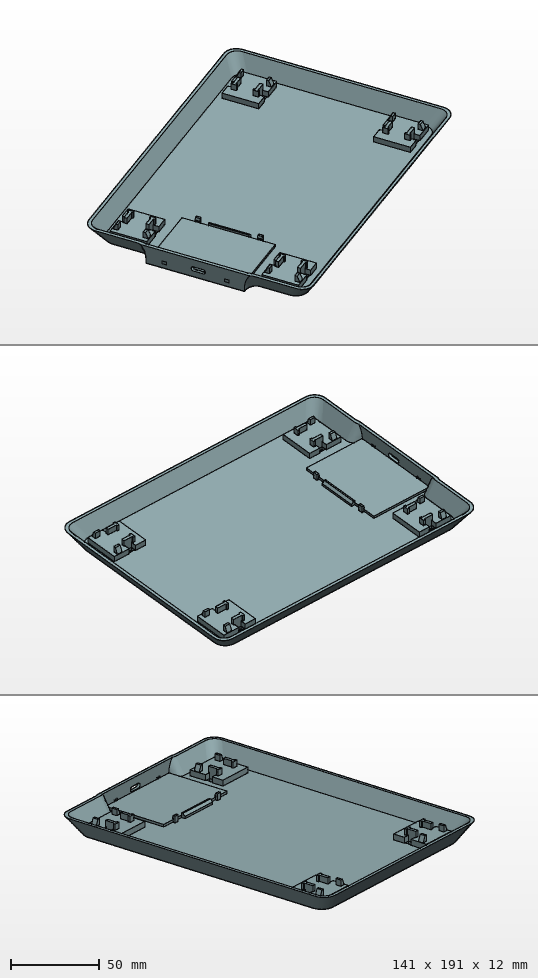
import cadquery as cq
import math

tray_width = 141.0
overall_length = 191.0
tray_height = 12.0
wall = 2.0
floor_thickness = 2.0
flare = 7.5 / tray_height
bay_proud = 0.5
tray_length = overall_length - bay_proud
tray_center_y = bay_proud / 2
bay_face_y = -overall_length / 2
bay_half_width = 30.8
bay_fillet = 6.0
outer_corner_radius = 9.5
inner_corner_radius = 8.0

port_width = 8.8
port_height = 2.9
port_x = 2.0
port_z = 5.5

cover_width = 58.3
cover_length = 41.3
cover_thickness = 1.5
cover_front_y = bay_face_y + wall
cover_back_y = cover_front_y + cover_length

catch_x = 19.5
catch_width = 2.9
slot_bottom_z = 2.5
slot_height = 2.0
slot_web = 0.5
hook_gap = 0.4
hook_thickness = 1.3
hook_barb = 0.5
hook_barb_height = 2.0
hook_height = 4.2
rib_length = 25.4
rib_thickness = 2.5
rib_height = 2.9
rib_chamfer = 1.5

clip_x = 47.4
clip_y = 72.4
clip_width = 23.0
clip_length = 23.3
clip_thickness = 3.6
post_height = 3.8
notch_inner_x = 7.8
notch_outer_y = 0.67
notch_inner_y = -4.1
hole_outer_x = 10.7
bar_thickness = 2.0
bar_outer_y = 1.3
bar_inner_y = -4.8
foot_inner_x = 5.2
foot_outer_x = 8.5
foot_thickness = 1.3
wedge_inner_x = 7.93
wedge_top_x = 9.4
wedge_outer_x = 11.0
wedge_near_y = 5.5
wedge_width = 3.5


def box(x_min, x_max, y_min, y_max, z_min, z_max):
    """Box between the given limits."""
    size = (x_max - x_min, y_max - y_min, z_max - z_min)
    return cq.Workplane("XY").box(*size, centered=False).translate((x_min, y_min, z_min))


def flared_pan(rim_inset, z_bottom, corner_radius):
    """Solid pan shape: flared walls, rounded corners and a filleted bay cut flat at the front."""
    height = tray_height - z_bottom
    top_width = tray_width - 2 * rim_inset
    top_length = tray_length - 2 * rim_inset
    bottom_inset = 2 * flare * height
    pan = (
        cq.Workplane("XY", origin=(0, tray_center_y, z_bottom))
        .rect(top_width - bottom_inset, top_length - bottom_inset)
        .workplane(offset=height)
        .rect(top_width, top_length)
        .loft(combine=True)
    )
    sloping_edges = pan.edges("not(#Z)")
    pan = sloping_edges.fillet(corner_radius)

    half_width = bay_half_width - rim_inset
    far_y = 2 * bay_face_y
    root_y = bay_face_y / 2
    pan = pan.union(box(-half_width, half_width, far_y, root_y, z_bottom, tray_height))
    margin = 0.2
    seam_depth = flare * height + wall + margin
    seam_zone = cq.selectors.BoxSelector(
        (-half_width - margin, bay_face_y - margin, z_bottom),
        (half_width + margin, bay_face_y + rim_inset + seam_depth, tray_height),
    )
    pan = pan.edges("not(#Z)").edges(seam_zone).fillet(bay_fillet)
    front_y = bay_face_y + rim_inset
    return pan.cut(box(-tray_width, tray_width, far_y, front_y, 0, tray_height))


def make_hook(x_center):
    """Upright hook behind the cover, with a sloping barb reaching toward the cover."""
    z_top = floor_thickness + hook_height
    z_barb = z_top - hook_barb_height
    front_y = cover_back_y + hook_gap
    back_y = front_y + hook_thickness
    profile = [
        (front_y, floor_thickness),
        (back_y, floor_thickness),
        (back_y, z_top),
        (front_y, z_top),
        (front_y - hook_barb, z_barb),
        (front_y, z_barb),
    ]
    start = x_center - catch_width / 2
    return cq.Workplane("YZ", origin=(start, 0, 0)).polyline(profile).close().extrude(catch_width)


def make_rib():
    """Rib along the cover's back edge, chamfered on its rear top edge."""
    rib = box(
        -rib_length / 2, rib_length / 2,
        cover_back_y, cover_back_y + rib_thickness,
        floor_thickness, floor_thickness + rib_height,
    )
    return rib.edges(">Y and >Z").chamfer(rib_chamfer)


def make_tray():
    tray = flared_pan(0, 0, outer_corner_radius)
    tray = tray.cut(flared_pan(wall, floor_thickness, inner_corner_radius))

    port = (
        cq.Workplane("XZ", origin=(port_x, bay_face_y + wall, port_z))
        .slot2D(port_width, port_height)
        .extrude(wall)
    )
    tray = tray.cut(port)

    for side in (-1, 1):
        x_center = side * catch_x
        slot = box(
            x_center - catch_width / 2, x_center + catch_width / 2,
            bay_face_y + slot_web, bay_face_y + wall,
            slot_bottom_z, slot_bottom_z + slot_height,
        )
        tray = tray.cut(slot).union(make_hook(x_center))
    tray = tray.union(make_rib())

    hole = box(notch_inner_x, hole_outer_x, notch_inner_y, notch_outer_y, 0, floor_thickness)
    return tray.cut(place_at_corners(both_sides(hole)))


def make_cover():
    return box(
        -cover_width / 2, cover_width / 2,
        cover_front_y, cover_back_y,
        floor_thickness, floor_thickness + cover_thickness,
    )


def both_sides(shape):
    """The shape together with its mirror image across X = 0."""
    return shape.union(shape.mirror("YZ"))


def make_clip():
    """One clip centred on the origin in X and Y, its +Y end being the one near the tray's end."""
    half_width = clip_width / 2
    half_length = clip_length / 2
    z_base = floor_thickness
    z_plate = z_base + clip_thickness
    z_top = z_plate + post_height
    bar_inner_x = notch_inner_x - bar_thickness

    plate = box(-half_width, half_width, -half_length, half_length, z_base, z_plate)
    notch = box(notch_inner_x, half_width, notch_inner_y, notch_outer_y, z_base, z_plate)
    bar = box(bar_inner_x, notch_inner_x, bar_inner_y, bar_outer_y, z_plate, z_top)
    foot = box(foot_inner_x, foot_outer_x, bar_inner_y - foot_thickness, bar_inner_y, z_plate, z_top)
    wedge_profile = [
        (wedge_inner_x, z_plate),
        (wedge_outer_x, z_plate),
        (wedge_top_x, z_top),
        (wedge_inner_x, z_top),
    ]
    wedge = (
        cq.Workplane("XZ", origin=(0, wedge_near_y + wedge_width, 0))
        .polyline(wedge_profile)
        .close()
        .extrude(wedge_width)
    )
    posts = bar.union(foot).union(wedge)
    return plate.cut(both_sides(notch)).union(both_sides(posts))


def place_at_corners(shape):
    """Four copies of the shape near the tray corners, the front ones turned end for end."""
    copies = cq.Workplane("XY")
    for turn, y_offset in ((0, clip_y), (180, -clip_y)):
        turned = shape.rotate((0, 0, 0), (0, 0, 1), turn)
        for x_offset in (-clip_x, clip_x):
            copies = copies.add(turned.translate((x_offset, tray_center_y + y_offset, 0)))
    return copies


tray = make_tray()
cover = make_cover()
clips = place_at_corners(make_clip())

result = cq.Compound.makeCompound([tray.val(), cover.val(), *clips.vals()])